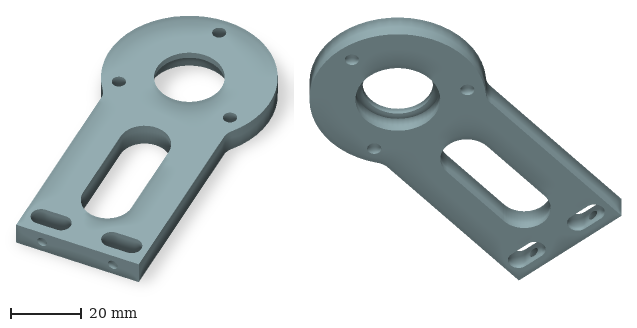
import cadquery as cq
import math

thickness = 7.0
head_radius = 25.0
overall_length = 100.0
arm_width = 38.2
arm_end_y = head_radius - overall_length
neck_fillet = 5.0

bore_diameter = 20.0
bearing_diameter = 24.0
bearing_depth = 5.0
bolt_hole_diameter = 4.0
bolt_circle_radius = 20.0
bolt_count = 3

window_length = 40.0
window_width = 15.0
window_y = -42.5

slot_length = 12.2
slot_width = 6.0
slot_end_gap = 3.0
slot_spacing = 22.0
slot_y = arm_end_y + slot_end_gap + slot_width / 2
screw_hole_diameter = 3.0


def make_blank():
    """Round head joined to a straight arm, with filleted neck corners."""
    head = cq.Workplane("XY").circle(head_radius).extrude(thickness)
    arm = (
        cq.Workplane("XY")
        .center(0, arm_end_y / 2)
        .rect(arm_width, -arm_end_y)
        .extrude(thickness)
    )
    half_width = arm_width / 2
    neck_y = -math.sqrt(head_radius**2 - half_width**2)
    margin = 0.5
    neck_zone = cq.selectors.BoxSelector(
        (-half_width - margin, neck_y - margin, -margin),
        (half_width + margin, neck_y + margin, thickness + margin),
    )
    return head.union(arm).edges("|Z").edges(neck_zone).fillet(neck_fillet)


def cut_head_holes(plate):
    """Central bore with a wider seat from below, and the ring of bolt holes, one of them at the tip."""
    bore = cq.Workplane("XY").circle(bore_diameter / 2).extrude(thickness)
    bearing_seat = cq.Workplane("XY").circle(bearing_diameter / 2).extrude(bearing_depth)
    bolts = (
        cq.Workplane("XY")
        .polarArray(bolt_circle_radius, 90, 360, bolt_count)
        .circle(bolt_hole_diameter / 2)
        .extrude(thickness)
    )
    return plate.cut(bore).cut(bearing_seat).cut(bolts)


def cut_arm_slots(plate):
    """Lengthwise window and the two crosswise nut slots."""
    window = (
        cq.Workplane("XY")
        .center(0, window_y)
        .slot2D(window_length, window_width, 90)
        .extrude(thickness)
    )
    slots = (
        cq.Workplane("XY")
        .center(0, slot_y)
        .rarray(slot_spacing, 1, 2, 1)
        .slot2D(slot_length, slot_width)
        .extrude(thickness)
    )
    return plate.cut(window).cut(slots)


def cut_screw_holes(plate):
    """Holes from the arm end into the middle of each nut slot."""
    holes = (
        cq.Workplane("XZ", origin=(0, arm_end_y, thickness / 2))
        .rarray(slot_spacing, 1, 2, 1)
        .circle(screw_hole_diameter / 2)
        .extrude(-(slot_end_gap + slot_width / 2))
    )
    return plate.cut(holes)


result = cut_screw_holes(cut_arm_slots(cut_head_holes(make_blank())))